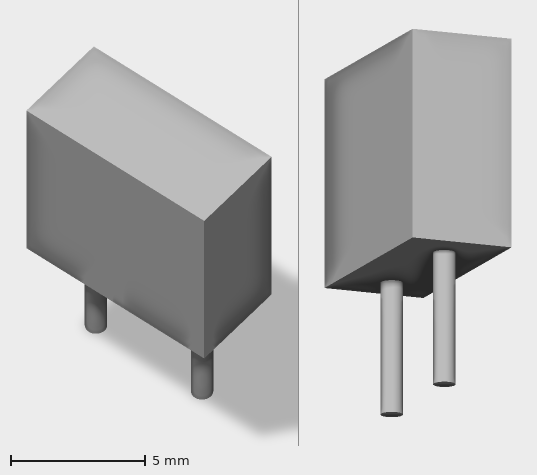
import cadquery as cq

total_height = 13.06
housing_length = 8.52
housing_width = 4.0
housing_height = 8.0

pin_diameter = 0.84
pin_spacing = 5.08
pin_length = total_height - housing_height


def make_housing():
    """Plain rectangular block whose underside lies at Z = 0."""
    return cq.Workplane("XY").box(
        housing_length, housing_width, housing_height, centered=(True, True, False)
    )


def make_pin(x_position):
    """Round pin hanging down from the underside of the housing."""
    return (
        cq.Workplane("XY")
        .center(x_position, 0)
        .circle(pin_diameter / 2)
        .extrude(-pin_length)
    )


housing = make_housing()

pins = []
for side in (-1, 1):
    pins.append(make_pin(side * pin_spacing / 2).val())

result = cq.Compound.makeCompound([housing.val(), *pins])